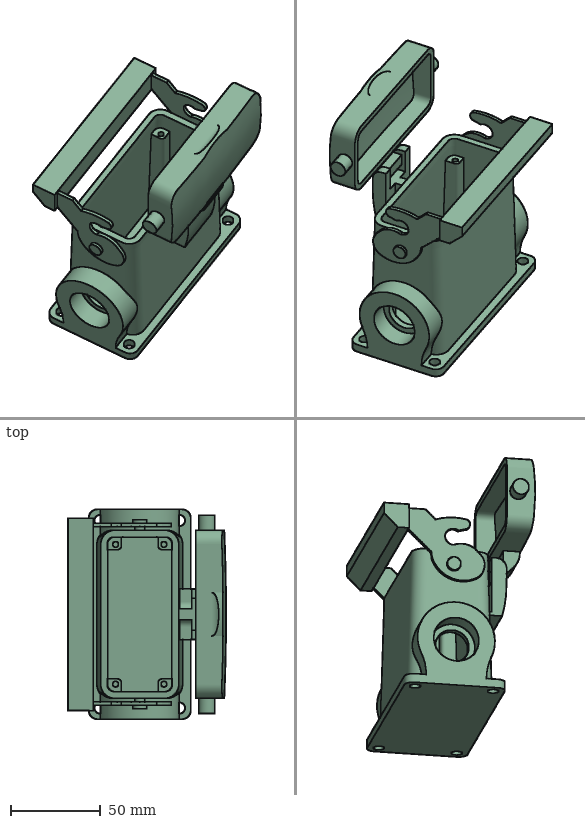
import cadquery as cq
import math

flange_width = 57.0
flange_length = 117.0
flange_thickness = 5.0
flange_corner_radius = 5.0
mount_hole_diameter = 6.0
mount_hole_x = 22.1
mount_hole_y = 52.2

shell_width = 43.4
shell_length = 93.5
shell_base_width = 47.7
shell_height = 83.8
straight_rim_height = 5.0
shell_corner_radius = 7.7
wall = 3.8
taper_start = shell_height - straight_rim_height
floor_top = flange_thickness

post_top = 72.0
post_inner_x = 10.3
post_inner_y = 36.0
post_corner_radius = 2.0
post_hole_x = 13.5
post_hole_y = 38.9
post_hole_diameter = 3.2
post_hole_depth = 11.5

entry_height = 27.0
entry_radius = 22.0
entry_neck_half_width = 17.0
entry_bore_diameter = 25.6
entry_through_diameter = 19.0
entry_bore_depth = 11.5

bracket_width = 28.2
bracket_front = 28.9
bracket_back = 37.3
bracket_bottom = 58.7
bracket_top = 92.8
bracket_top_radius = 5.8
bracket_back_foot_x = 34.8
bracket_back_bend = 77.0
slot_width = 17.6
slot_floor = 78.8
shelf_thickness = 2.2
web_thickness = 6.0
web_fillet = 3.9

pivot_height = 74.0
rivet_shaft_diameter = 5.3
rivet_head_diameter = 7.7
rivet_head_end = 52.5
arm_inner_y = 48.7
arm_thickness = 2.0
bar_length = 107.1
bar_front = -40.0
bar_back = -25.9
bar_top = 106.8
bar_bottom = 92.8
bar_front_bottom = 100.6
bar_chamfer = bar_front_bottom - bar_bottom
notch_height = 90.4
notch_radius = 4.8

cover_rim_x = 31.1
cover_bottom = 99.3
cover_middle = cover_bottom + shell_width / 2
cover_top = cover_bottom + shell_width
cover_back_x = 48.1
crown_rise_z = 1.7
crown_rise_y = 1.0
crown_margin = 4.3
cover_cavity_depth = 12.5
cover_wall = 3.6
cover_pin_x = 37.3
cover_pin_diameter = 9.1
cover_pin_span = 110.5

tab_half_width = 12.1
tab_front_x = 39.9
tab_scoop_length = 4.0
tab_top = 144.5

tongue_width = 17.3
tongue_front_x = 36.6
tongue_back_x = 46.0
tongue_bend_radius = 12.3
toe_front_x = cover_rim_x
toe_top = 89.9
toe_bottom = 83.3
toe_length = 4.6


def box_between(x0, x1, y0, y1, z0, z1):
    return cq.Workplane("XY").box(x1 - x0, y1 - y0, z1 - z0, centered=False).translate((x0, y0, z0))


def extrude_across(outline, width):
    """Extrude an XZ outline symmetrically about the middle plane y = 0."""
    return outline.extrude(width / 2, both=True)


def cylinder_y(x, z, diameter, y0, y1):
    """A round bar along Y from y0 to y1."""
    return cq.Workplane("XZ", origin=(x, y0, z)).circle(diameter / 2).extrude(y0 - y1)


def rounded_rectangle(width, length, radius):
    return cq.Sketch().rect(width, length).vertices().fillet(radius)


def tapered_block(inset, bottom):
    """Rounded block inset from the shell's outside, straight at the rim and wider towards the base."""
    slope = (shell_base_width - shell_width) / 2 / (taper_start - flange_thickness)
    top_x = shell_width / 2 - inset
    bottom_x = top_x + slope * (taper_start - bottom)
    outline = (
        cq.Workplane("XZ")
        .moveTo(-bottom_x, bottom)
        .lineTo(-top_x, taper_start)
        .lineTo(-top_x, shell_height)
        .lineTo(top_x, shell_height)
        .lineTo(top_x, taper_start)
        .lineTo(bottom_x, bottom)
        .close()
    )
    block = extrude_across(outline, shell_length - 2 * inset)
    upright_edges = block.edges("not(|X or |Y)")
    return upright_edges.fillet(shell_corner_radius - inset)


def flange():
    plate = (
        cq.Workplane("XY")
        .rect(flange_width, flange_length)
        .extrude(flange_thickness)
        .edges("|Z")
        .fillet(flange_corner_radius)
    )
    return plate.faces(">Z").workplane().rect(2 * mount_hole_x, 2 * mount_hole_y, forConstruction=True).vertices().hole(
        mount_hole_diameter
    )


def entry_bosses():
    """Round bosses through the housing whose sides sweep down into a narrower neck on the flange."""
    rise = entry_height - flange_thickness
    neck = entry_neck_half_width
    sweep_radius = (neck**2 + rise**2 - entry_radius**2) / (2 * (entry_radius - neck))
    sweep_x = neck + sweep_radius
    swing = math.atan2(rise, sweep_x)
    join = (entry_radius * math.cos(swing), entry_height - entry_radius * math.sin(swing))
    middle = (
        sweep_x - sweep_radius * math.cos(swing / 2),
        flange_thickness + sweep_radius * math.sin(swing / 2),
    )
    outline = (
        cq.Workplane("XZ")
        .moveTo(-neck, 0)
        .lineTo(-neck, flange_thickness)
        .threePointArc((-middle[0], middle[1]), (-join[0], join[1]))
        .threePointArc((0, entry_height + entry_radius), join)
        .threePointArc(middle, (neck, flange_thickness))
        .lineTo(neck, 0)
        .close()
    )
    return extrude_across(outline, flange_length)


def entry_bores():
    end = flange_length / 2
    bores = cylinder_y(0, entry_height, entry_through_diameter, -end, end)
    for side in (-1, 1):
        bores = bores.union(
            cylinder_y(0, entry_height, entry_bore_diameter, side * end, side * (end - entry_bore_depth))
        )
    return bores


def screw_posts(cavity):
    """Four posts filling the corners of the cavity, each with a blind screw hole."""
    posts = cq.Workplane("XY")
    for side_x in (-1, 1):
        for side_y in (-1, 1):
            post = (
                box_between(post_inner_x, shell_base_width / 2, post_inner_y, shell_length / 2, floor_top, post_top)
                .edges("|Z and <X and <Y")
                .fillet(post_corner_radius)
            )
            hole = (
                cq.Workplane("XY", origin=(post_hole_x, post_hole_y, post_top))
                .circle(post_hole_diameter / 2)
                .extrude(-post_hole_depth)
            )
            post = post.cut(hole)
            if side_x < 0:
                post = post.mirror("YZ")
            if side_y < 0:
                post = post.mirror("XZ")
            posts = posts.add(post.intersect(cavity))
    return posts


def hinge_bracket():
    """Slotted plate behind the housing, carried by a shelf and a filleted middle web."""
    run = bracket_back - bracket_back_foot_x
    drop = bracket_back_bend - bracket_bottom
    bow_radius = (run**2 + drop**2) / (2 * run)
    half_swing = math.asin(drop / bow_radius) / 2
    bow_middle = (
        bracket_back - bow_radius * (1 - math.cos(half_swing)),
        bracket_back_bend - bow_radius * math.sin(half_swing),
    )
    plate_outline = (
        cq.Workplane("XZ")
        .moveTo(bracket_front, bracket_bottom)
        .lineTo(bracket_front, bracket_top)
        .lineTo(bracket_back - bracket_top_radius, bracket_top)
        .radiusArc((bracket_back, bracket_top - bracket_top_radius), bracket_top_radius)
        .lineTo(bracket_back, bracket_back_bend)
        .threePointArc(bow_middle, (bracket_back_foot_x, bracket_bottom))
        .close()
    )
    plate = extrude_across(plate_outline, bracket_width)
    slot = box_between(
        bracket_front, bracket_back, -slot_width / 2, slot_width / 2, slot_floor, bracket_top
    )
    shelf_top = bracket_bottom + shelf_thickness
    web = web_thickness / 2
    half_width = bracket_width / 2
    rooted_x = shell_width / 2 - wall / 2
    support = (
        cq.Workplane("YZ", origin=(rooted_x, 0, 0))
        .moveTo(-half_width, bracket_bottom)
        .lineTo(half_width, bracket_bottom)
        .lineTo(half_width, shelf_top)
        .lineTo(web + web_fillet, shelf_top)
        .radiusArc((web, shelf_top + web_fillet), web_fillet)
        .lineTo(web, slot_floor)
        .lineTo(-web, slot_floor)
        .lineTo(-web, shelf_top + web_fillet)
        .radiusArc((-web - web_fillet, shelf_top), web_fillet)
        .lineTo(-half_width, shelf_top)
        .close()
        .extrude(bracket_front - rooted_x)
    )
    return plate.cut(slot).union(support)


def lever_arm():
    """Flat hooked arm: a straight handle, a rounded finger, a round notch and a cam-shaped lobe."""
    handle_top = 105.5
    handle_bottom = 93.4
    crook = (-10.3, 99.9)
    finger_crest = (0.7, 101.8)
    finger_end_top = (7.5, 101.0)
    finger_tip = (9.4, 98.2)
    finger_end_bottom = (7.7, 95.5)
    jaw_x = 2.7
    jaw = (jaw_x, notch_height + math.sqrt(notch_radius**2 - jaw_x**2))
    notch_left = (-notch_radius, notch_height)
    notch_bottom = (0, notch_height - notch_radius)
    lobe_crest = (5.0, 86.6)
    lobe_shoulder = (12.3, 84.0)
    lobe_back_top = (15.8, 80.2)
    lobe_back = (17.6, 74.3)
    lobe_back_bottom = (13.2, 67.0)
    lobe_belly = (-4.5, 67.4)
    lobe_front_bottom = (-12.1, 77.0)
    lobe_front = (-12.6, 80.5)
    return (
        cq.Workplane("XZ")
        .moveTo(bar_back, handle_bottom)
        .lineTo(bar_back, handle_top)
        .lineTo(crook[0] - (handle_top - crook[1]), handle_top)
        .lineTo(*crook)
        .threePointArc(finger_crest, finger_end_top)
        .threePointArc(finger_tip, finger_end_bottom)
        .lineTo(*jaw)
        .threePointArc(notch_left, notch_bottom)
        .threePointArc(lobe_crest, lobe_shoulder)
        .lineTo(*lobe_back_top)
        .threePointArc(lobe_back, lobe_back_bottom)
        .threePointArc(lobe_belly, lobe_front_bottom)
        .lineTo(*lobe_front)
        .close()
        .extrude(-arm_thickness)
        .translate((0, arm_inner_y, 0))
    )


def lever():
    """Handle bar with an arm at each end, riveted to the housing's end walls."""
    bar_outline = (
        cq.Workplane("XZ")
        .moveTo(bar_front, bar_top)
        .lineTo(bar_back, bar_top)
        .lineTo(bar_back, bar_bottom)
        .lineTo(bar_front + bar_chamfer, bar_bottom)
        .lineTo(bar_front, bar_front_bottom)
        .close()
    )
    body = extrude_across(bar_outline, bar_length)
    wall_middle = (shell_length - wall) / 2
    arm_outer_y = arm_inner_y + arm_thickness
    arm = (
        lever_arm()
        .union(cylinder_y(0, pivot_height, rivet_shaft_diameter, wall_middle, arm_outer_y))
        .union(cylinder_y(0, pivot_height, rivet_head_diameter, arm_outer_y, rivet_head_end))
    )
    return body.union(arm).union(arm.mirror("XZ"))


def make_housing():
    cavity = tapered_block(wall, floor_top)
    shell = tapered_block(0, 0).union(flange()).union(entry_bosses())
    shell = shell.cut(cavity).cut(entry_bores())
    for post in screw_posts(cavity).vals():
        shell = shell.union(cq.Workplane(post))
    return shell.union(hinge_bracket()).union(lever())


def crowned_block():
    """Block on the +X side of the cover rim plane whose back face bulges slightly both ways."""
    half_height = shell_width / 2
    radius_z = (half_height**2 + crown_rise_z**2) / (2 * crown_rise_z)
    half_length = shell_length / 2
    radius_y = (half_length**2 + crown_rise_y**2) / (2 * crown_rise_y)
    reach = half_height + crown_margin
    edge_x = cover_back_x - radius_z + math.sqrt(radius_z**2 - reach**2)
    sweep_angle = 2 * math.degrees(math.asin((half_length + crown_margin) / radius_y))
    axis_x = cover_back_x - radius_y
    profile = (
        cq.Workplane("XZ", origin=(0, 0, cover_middle))
        .moveTo(cover_rim_x - crown_margin, -reach)
        .lineTo(edge_x, -reach)
        .threePointArc((cover_back_x, 0), (edge_x, reach))
        .lineTo(cover_rim_x - crown_margin, reach)
        .close()
    )
    block = profile.revolve(sweep_angle, (axis_x, -1.5, 0), (axis_x, 1.5, 0))
    return block.rotate((axis_x, 0, 0), (axis_x, 0, 1), -sweep_angle / 2)


def cover_prism(inset, x0, x1):
    """Rounded block along X, inset from the outside of the cover."""
    section = rounded_rectangle(
        shell_length - 2 * inset, shell_width - 2 * inset, shell_corner_radius - inset
    )
    return cq.Workplane("YZ", origin=(x0, 0, cover_middle)).placeSketch(section).extrude(x1 - x0)


def thumb_tab():
    """Low arched lip on the cover's top edge with a scooped front."""
    rise = tab_top - cover_top
    arch = (
        cq.Workplane("YZ", origin=(tab_front_x, 0, 0))
        .moveTo(-tab_half_width, cover_top)
        .threePointArc((0, tab_top), (tab_half_width, cover_top))
        .lineTo(tab_half_width, cover_top - cover_wall / 2)
        .lineTo(-tab_half_width, cover_top - cover_wall / 2)
        .close()
        .extrude(cover_back_x - tab_front_x)
    )
    scoop_radius = (tab_scoop_length**2 + rise**2) / (2 * rise)
    scoop = cylinder_y(
        tab_front_x, cover_top + scoop_radius, 2 * scoop_radius, -tab_half_width, tab_half_width
    )
    return arch.cut(scoop)


def hinge_tongue():
    """Tongue below the cover with a toe that lies in the slot of the hinge bracket."""
    bend = tongue_bend_radius * (1 - math.sqrt(0.5))
    bend_bottom_x = tongue_back_x - bend
    bend_bottom_z = toe_bottom + bend_bottom_x - (toe_front_x + toe_length)
    bend_top_z = bend_bottom_z + tongue_bend_radius * math.sqrt(0.5)
    outline = (
        cq.Workplane("XZ")
        .moveTo(tongue_front_x, cover_bottom + cover_wall / 2)
        .lineTo(tongue_front_x, toe_top)
        .lineTo(toe_front_x, toe_top)
        .lineTo(toe_front_x, toe_bottom)
        .lineTo(toe_front_x + toe_length, toe_bottom)
        .lineTo(bend_bottom_x, bend_bottom_z)
        .radiusArc((tongue_back_x, bend_top_z), -tongue_bend_radius)
        .lineTo(tongue_back_x, cover_bottom + cover_wall / 2)
        .close()
    )
    return extrude_across(outline, tongue_width)


def make_cover():
    crown = crowned_block()
    outside = cover_prism(0, cover_rim_x, cover_back_x).union(thumb_tab()).intersect(crown)
    back_thickness = cover_back_x - cover_rim_x - cover_cavity_depth
    cavity = cover_prism(cover_wall, cover_rim_x, cover_back_x).intersect(
        crown.translate((-back_thickness, 0, 0))
    )
    shell = outside.union(hinge_tongue()).cut(cavity)
    for side in (-1, 1):
        shell = shell.union(
            cylinder_y(
                cover_pin_x,
                cover_middle,
                cover_pin_diameter,
                side * (shell_length - cover_wall) / 2,
                side * cover_pin_span / 2,
            )
        )
    return shell


housing = make_housing()
cover = make_cover()
result = cq.Compound.makeCompound([housing.val(), cover.val()])